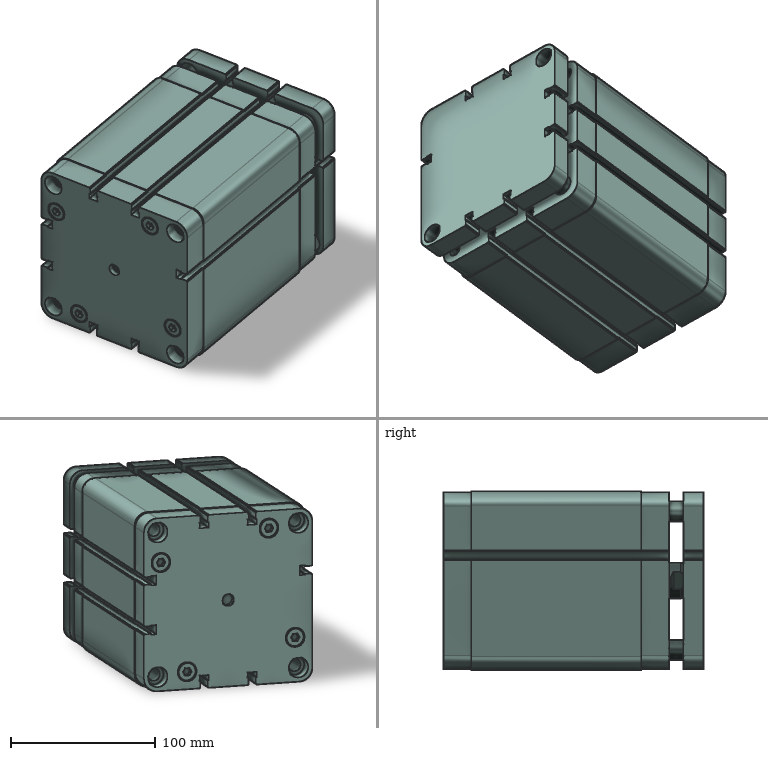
import cadquery as cq


total_length = 180.5
plate_thickness = 14.0
stroke_gap = 10.0
cap_length = 19.3
body_length = total_length - plate_thickness - stroke_gap
plate_start = total_length - plate_thickness

tube_side = 124.0
cap_side = 122.7
corner_radius = 9.5

slot_offset = 17.5
slot_width = 5.5
slot_head_width = 6.7
slot_depth = 9.7
slot_neck_depth = 6.0
mouth_chamfer = 0.7

mount_offset = 51.3
mount_bore_diameter = 14.0
mount_bore_depth = 9.0
mount_hole_diameter = 8.8
blind_hole_depth = 28.9
plate_hole_diameter = 14.0

screw_near = 29.8
screw_far = 49.0
screw_bore_diameter = 13.5
screw_head_diameter = 12.5
screw_gap_depth = 0.9
socket_across_corners = 6.1
socket_depth = 3.6

center_hole_diameter = 8.3
center_hole_depth = 4.0

guide_offset = 48.0
guide_diameter = 14.0
piston_diameter = 25.0
piston_chamfer = 2.0
piston_chamfer_radial = 0.7
flat_width = 22.0
flat_length = 6.9
runout_length = 2.0
rod_embed = 3.6


def cylinder(x, z, diameter, start, length):
    """Cylinder along +Y that begins at Y = start."""
    axis_start = cq.Vector(x, start, z)
    solid = cq.Solid.makeCylinder(diameter / 2, length, axis_start, cq.Vector(0, 1, 0))
    return cq.Workplane(obj=solid)


def rounded_block(side, start, length):
    """Square block with rounded corners along Y."""
    block = cq.Workplane("XY").box(side, length, side).edges("|Y").fillet(corner_radius)
    return block.translate((0, start + length / 2, 0))


def slot_cutter(face_side, offset, angle):
    """T-slot along the full length, cut in the +Z face and then turned about Y."""
    top = face_side / 2
    half_neck = slot_width / 2
    half_head = slot_head_width / 2
    head_top = tube_side / 2 - slot_neck_depth
    floor = tube_side / 2 - slot_depth
    right_half = [
        (half_neck + mouth_chamfer, top),
        (half_neck, top - mouth_chamfer),
        (half_neck, head_top),
        (half_head, head_top),
        (half_head, floor),
    ]
    left_half = [(-x, z) for x, z in reversed(right_half)]
    cutter = cq.Workplane("XZ").polyline(right_half + left_half).close().extrude(-total_length)
    return cutter.translate((offset, 0, 0)).rotate((0, 0, 0), (0, 1, 0), angle)


def slotted_block(side, start, length):
    """Rounded block with two T-slots per side, but only the upper one on the +X side."""
    block = rounded_block(side, start, length)
    slots = [(angle, sign * slot_offset) for angle in (0, 180, 270) for sign in (-1, 1)]
    slots.append((90, -slot_offset))
    for angle, offset in slots:
        block = block.cut(slot_cutter(side, offset, angle))
    return block


def piston_rod():
    """Rod with a chamfered end and two wrench flats that end in sloping run-outs."""
    radius = piston_diameter / 2
    half_flat = flat_width / 2
    root = body_length - rod_embed
    profile = [
        (0, root),
        (radius, root),
        (radius, plate_start - piston_chamfer),
        (radius - piston_chamfer_radial, plate_start),
        (0, plate_start),
    ]
    rod = cq.Workplane("XY").polyline(profile).close().revolve(360, (0, 0, 0), (0, 1, 0))
    flat_start = plate_start - flat_length
    flat_profile = [
        (half_flat, plate_start),
        (half_flat, flat_start),
        (radius, flat_start - runout_length),
        (radius, plate_start),
    ]
    flat = cq.Workplane("XY").polyline(flat_profile).close().extrude(radius, both=True)
    return rod.cut(flat).cut(flat.mirror("YZ"))


def cut_mount_holes(body):
    """Counterbored corner holes: through on one diagonal, blind on the guide rod diagonal."""
    for x_sign in (-1, 1):
        for z_sign in (-1, 1):
            x = x_sign * mount_offset
            z = z_sign * mount_offset
            body = body.cut(cylinder(x, z, mount_bore_diameter, 0, mount_bore_depth))
            on_guide_diagonal = x_sign == z_sign
            hole_depth = blind_hole_depth if on_guide_diagonal else body_length
            body = body.cut(cylinder(x, z, mount_hole_diameter, 0, hole_depth))
    return body


def cut_cap_screws(body):
    """Flush screw heads, each with a narrow ring gap and a hexagon socket."""
    positions = [
        (screw_near, screw_far),
        (screw_far, -screw_near),
        (-screw_near, -screw_far),
        (-screw_far, screw_near),
    ]
    for x, z in positions:
        gap = cylinder(x, z, screw_bore_diameter, 0, screw_gap_depth)
        gap = gap.cut(cylinder(x, z, screw_head_diameter, 0, screw_gap_depth))
        socket = cq.Workplane("XZ").center(x, z).polygon(6, socket_across_corners)
        body = body.cut(gap).cut(socket.extrude(-socket_depth))
    return body


rear_cap = slotted_block(cap_side, 0, cap_length)
tube = slotted_block(tube_side, cap_length, body_length - 2 * cap_length)
front_cap = slotted_block(cap_side, body_length - cap_length, cap_length)
body = rear_cap.union(tube).union(front_cap)
body = cut_mount_holes(body)
body = cut_cap_screws(body)
body = body.cut(cylinder(0, 0, center_hole_diameter, 0, center_hole_depth))

plate = slotted_block(cap_side, plate_start, plate_thickness)
for sign in (-1, 1):
    x = sign * mount_offset
    plate = plate.cut(cylinder(x, -x, plate_hole_diameter, plate_start, plate_thickness))

guide_start = body_length - rod_embed
guide_length = stroke_gap + 2 * rod_embed
result = body.union(plate).union(piston_rod())
for sign in (-1, 1):
    x = sign * guide_offset
    result = result.union(cylinder(x, x, guide_diameter, guide_start, guide_length))